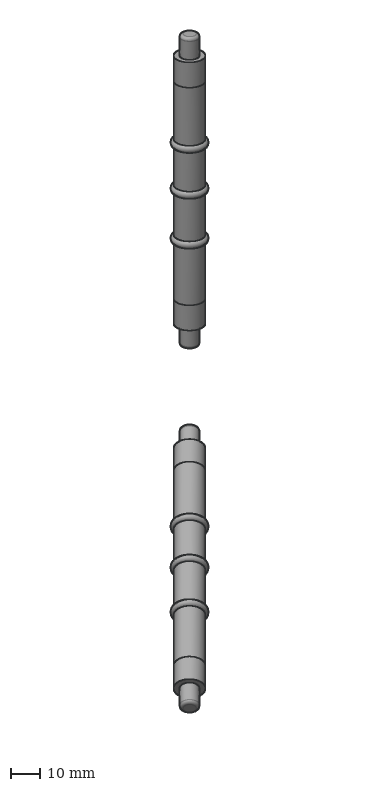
import cadquery as cq

length = 118.6
outer_diameter = 13.0

journal_radius = 3.4
journal_length = 8.3
journal_end_round = 1.2
collar_radius = 5.5
collar_length = 9.6

sleeve_start = journal_length + collar_length
sleeve_length = length - 2 * sleeve_start

ring_section_radius = 1.4
ring_center_radius = outer_diameter / 2 - ring_section_radius
ring_heights = [40.8, 59.8, 77.2]


def make_core():
    """Shaft through the sleeve, with rounded ends and two collars."""
    shaft = cq.Workplane("XY").circle(journal_radius).extrude(length)
    shaft = shaft.faces("<Z or >Z").edges().fillet(journal_end_round)
    for collar_start in (journal_length, length - sleeve_start):
        collar = (
            cq.Workplane("XY")
            .workplane(offset=collar_start)
            .circle(collar_radius)
            .extrude(collar_length)
        )
        shaft = shaft.union(collar)
    return shaft.solids()


def make_ring(height):
    """Round-section O-ring around the Z axis at the given height."""
    return (
        cq.Workplane("XZ")
        .center(ring_center_radius, height)
        .circle(ring_section_radius)
        .revolve(360, (-ring_center_radius, 0), (-ring_center_radius, 1))
    )


def make_sleeve(seated_rings):
    """Tube around the shaft, grooved to fit the O-rings."""
    tube = (
        cq.Workplane("XY")
        .workplane(offset=sleeve_start)
        .circle(collar_radius)
        .circle(journal_radius)
        .extrude(sleeve_length)
    )
    for ring in seated_rings:
        tube = tube.cut(ring)
    return tube.solids()


core = make_core()
rings = [make_ring(height) for height in ring_heights]
sleeve = make_sleeve(rings)

result = cq.Compound.makeCompound([core.val(), sleeve.val(), *[ring.val() for ring in rings]])